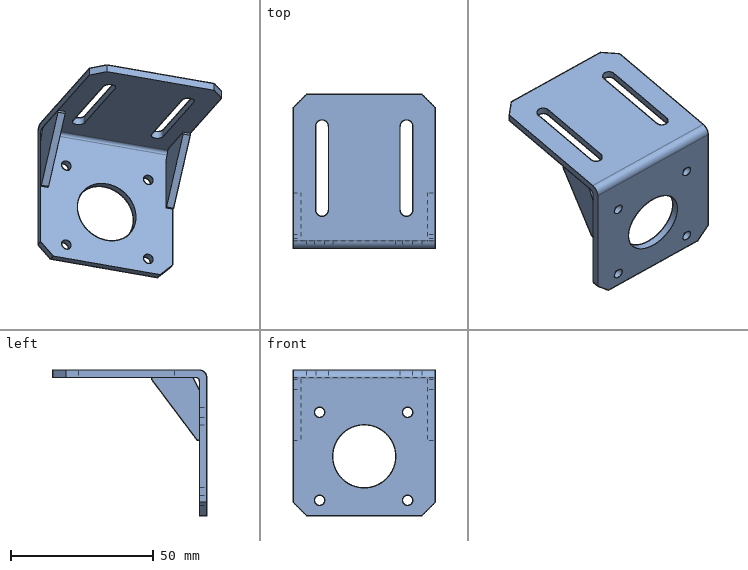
import cadquery as cq

width = 50.0
depth = 54.3
height = 51.3
thickness = 2.7
outer_bend_radius = 2.8
inner_bend_radius = 1.25
corner_chamfer = 4.8

bore_diameter = 22.1
bore_drop = 30.4
screw_hole_diameter = 3.55
screw_spacing = 30.95
screw_pattern_shift = -0.2

slot_width = 4.4
slot_length = 33.85
slot_spacing = 29.7
slot_front_gap = 11.35

gusset_thickness = thickness
gusset_reach = 16.7
gusset_drop = 22.05
gusset_rear_edge = 0.75
gusset_foot = 0.75
relief_reach = 2.15
relief_drop = 4.25


def make_bracket():
    """Bent L plate with chamfered free corners, motor holes and slots."""
    plate = (
        cq.Workplane("YZ")
        .polyline([
            (0, 0), (depth, 0), (depth, -thickness),
            (thickness, -thickness), (thickness, -height), (0, -height),
        ])
        .close()
        .extrude(width / 2, both=True)
    )
    plate = plate.edges("|X and <Y and >Z").fillet(outer_bend_radius)
    inner_corner = cq.selectors.NearestToPointSelector((0, thickness, -thickness))
    plate = plate.edges("|X").edges(inner_corner).fillet(inner_bend_radius)
    plate = plate.faces(">Y").edges("|Z").chamfer(corner_chamfer)
    plate = plate.faces("<Z").edges("|Y").chamfer(corner_chamfer)

    bore = cq.Workplane("XZ").center(0, -bore_drop).circle(bore_diameter / 2).extrude(-thickness)
    screw_holes = (
        cq.Workplane("XZ")
        .center(screw_pattern_shift, -bore_drop)
        .rarray(screw_spacing, screw_spacing, 2, 2)
        .circle(screw_hole_diameter / 2)
        .extrude(-thickness)
    )
    slots = (
        cq.Workplane("XY")
        .center(0, slot_front_gap + slot_length / 2)
        .rarray(slot_spacing, 0.55, 2, 1)
        .slot2D(slot_length, slot_width, 90)
        .extrude(-thickness)
    )
    return plate.cut(bore).cut(screw_holes).cut(slots)


def make_gusset(left_x):
    """Triangular web with blunted tips and a relief at the bend."""
    return (
        cq.Workplane("YZ", origin=(left_x, thickness, -thickness))
        .polyline([
            (relief_reach, 0), (gusset_reach, 0), (gusset_reach, -gusset_rear_edge),
            (gusset_foot, -gusset_drop), (0, -gusset_drop), (0, -relief_drop),
        ])
        .close()
        .extrude(gusset_thickness)
    )


bracket = make_bracket()

gusset_positions = (-width / 2, width / 2 - gusset_thickness)
gussets = [make_gusset(left_x).val() for left_x in gusset_positions]

result = cq.Compound.makeCompound([bracket.val(), *gussets])